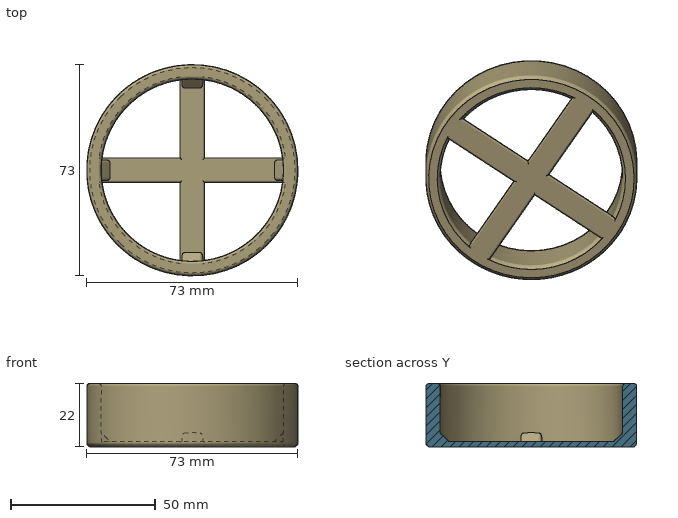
import cadquery as cq

outer_diameter = 73.0
bore_diameter = 63.0
ring_height = 22.0
edge_size = 1.0

arm_width = 8.55
arm_thickness = 2.0
arm_rounding = 0.65

gusset_run = 3.1
gusset_rise = 3.0
gusset_width = arm_width - 2 * arm_rounding

bore_radius = bore_diameter / 2
wall_thickness = (outer_diameter - bore_diameter) / 2
wall_middle = bore_radius + wall_thickness / 2


def make_ring():
    """Tube with a rounded rim and chamfered foot edges blended into its walls."""
    ring = cq.Workplane("XY").circle(outer_diameter / 2).circle(bore_radius).extrude(ring_height)
    ring = ring.faces(">Z").edges().fillet(edge_size)
    ring = ring.faces("<Z").edges().chamfer(edge_size)
    chamfer_tops = cq.selectors.BoxSelector(
        (-outer_diameter, -outer_diameter, edge_size / 2),
        (outer_diameter, outer_diameter, ring_height / 2),
    )
    return ring.edges("%CIRCLE").edges(chamfer_tops).fillet(edge_size)


def make_arm():
    """Bar along X with rounded long edges, ending inside the ring wall."""
    bar = cq.Workplane("XY").box(2 * wall_middle, arm_width, arm_thickness, centered=(True, True, False))
    return bar.edges("|X").fillet(arm_rounding)


def make_gusset():
    """Wedge on the +X arm, rising toward the wall, with rounded slope sides."""
    toe = bore_radius - gusset_run
    slope = gusset_rise / gusset_run
    top = arm_thickness + slope * (wall_middle - toe)
    wedge = (
        cq.Workplane("XZ")
        .moveTo(toe, arm_thickness)
        .lineTo(wall_middle, top)
        .lineTo(wall_middle, 0)
        .lineTo(toe, 0)
        .close()
        .extrude(gusset_width / 2, both=True)
    )
    slope_sides = cq.selectors.ParallelDirSelector(cq.Vector(1, 0, slope))
    return wedge.edges(slope_sides).fillet(edge_size)


arm = make_arm()
gusset = make_gusset()
result = make_ring().union(arm.union(arm.rotate((0, 0, 0), (0, 0, 1), 90)))
for quarter in range(4):
    result = result.union(gusset.rotate((0, 0, 0), (0, 0, 1), 90 * quarter))